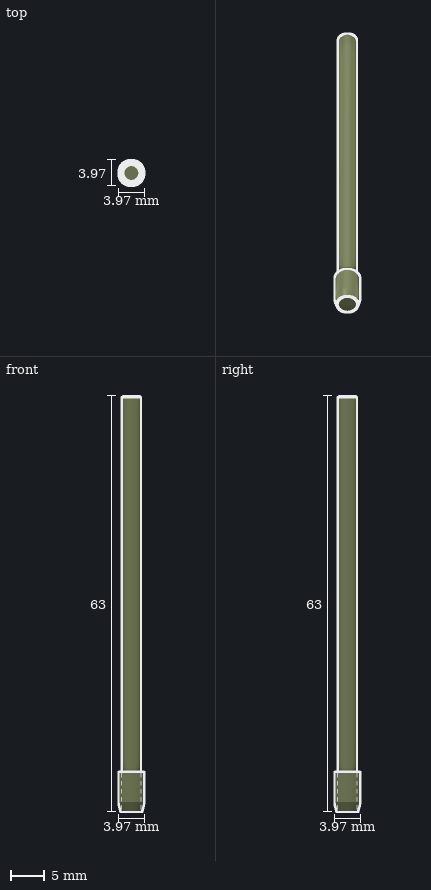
import cadquery as cq

total_length = 63.0
rod_radius = 1.48
collar_radius = 1.985

rod_chamfer = 0.25

collar_height = 6.2
shoulder_height = 0.1
shoulder_radius = 1.65
nose_height = 1.45

nose_end_radius = 1.65
nose_bulge = 0.04


def make_rod():
    """Round rod running the full length, with a chamfered upper end."""
    return (
        cq.Workplane("XY")
        .circle(rod_radius)
        .extrude(total_length)
        .faces(">Z")
        .edges()
        .chamfer(rod_chamfer)
    )


def make_collar():
    """Sleeve around the rod, with a bevelled shoulder and a rounded, tapered nose."""
    nose_mid_radius = (nose_end_radius + collar_radius) / 2 + nose_bulge
    return (
        cq.Workplane("XZ")
        .moveTo(rod_radius, 0)
        .lineTo(nose_end_radius, 0)
        .threePointArc((nose_mid_radius, nose_height / 2), (collar_radius, nose_height))
        .lineTo(collar_radius, collar_height - shoulder_height)
        .lineTo(shoulder_radius, collar_height)
        .lineTo(rod_radius, collar_height)
        .close()
        .revolve(360, (0, 0, 0), (0, 1, 0))
    )


rod = make_rod()
collar = make_collar()

result = cq.Compound.makeCompound([rod.val(), collar.val()])